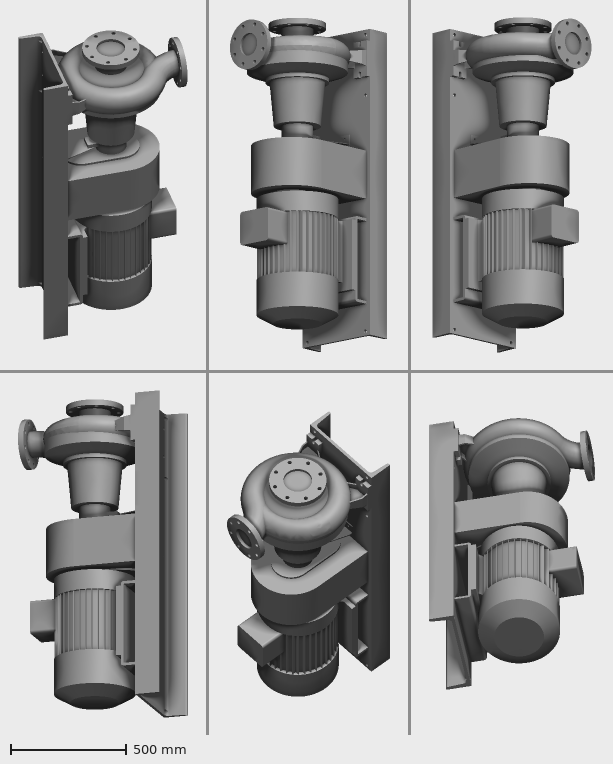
import cadquery as cq
import math


CHANNEL_LENGTH = 1360.0
CHANNEL_HALF_WIDTH = 199.0
CHANNEL_DEPTH = 110.0
CHANNEL_BACK_Y = -251.0
WEB_THICKNESS = 14.0
FLANGE_ROOT_THICKNESS = 20.0
FLANGE_TIP_THICKNESS = 14.0
FLANGE_ROOT_FILLET = 18.0
FLANGE_TIP_FILLET = 8.0
ANCHOR_HOLE_X = 170.0
ANCHOR_HOLE_DIAMETER = 16.0
ANCHOR_HOLE_HEIGHTS = (19.0, 1069.0, 1338.0)

CRADLE_HALF_WIDTH = 178.0
CRADLE_BOTTOM = 140.0
CRADLE_TOP = 520.0
CRADLE_THICKNESS = 12.0
CRADLE_CORNER_RADIUS = 12.0

PUMP_CENTER_Z = 1228.0
SPIRAL_OFFSET_X = 12.0
SPIRAL_RADIUS = 182.0
TUBE_RADIUS = 58.0
SPIRAL_START_RADIUS = 173.0
SPIRAL_START_TUBE_RADIUS = 50.0
SPIRAL_START_ANGLE = 70
SPIRAL_START_SECTIONS = 5
SUCTION_FACE_Z = 1370.0
SUCTION_FLANGE_DIAMETER = 250.0
SUCTION_BOLT_CIRCLE = 210.0
SUCTION_BORE_DIAMETER = 125.0
DISCHARGE_FACE_Y = 315.0
DISCHARGE_FLANGE_DIAMETER = 219.0
DISCHARGE_BOLT_CIRCLE = 180.0
DISCHARGE_BORE_DIAMETER = 100.0
PIPE_FLANGE_THICKNESS = 25.0
PIPE_BOLT_DIAMETER = 18.0
PIPE_BOLT_COUNT = 8
PIPE_BORE_DEPTH = 14.0
NECK_RADIUS = 70.0
COVER_INNER_Z = 1275.0
COVER_OUTER_Z = 1263.0
COVER_RADIUS = 158.0
BACKPLATE_RADIUS = 219.0
BACKPLATE_TOP = 1215.0
BACKPLATE_BOTTOM = 1152.0
COLLAR_RADIUS = 138.0
COLLAR_TOP = 1123.0
COLLAR_BOTTOM = 1107.0
FRAME_TOP_RADIUS = 120.0
FRAME_BOTTOM_RADIUS = 103.0
FRAME_BOTTOM = 914.0
BEARING_RADIUS = 68.0
BEARING_BOTTOM = 840.0
PUMP_SHAFT_RADIUS = 15.0
BEARING_FOOT_END_Y = -112.0
BEARING_FOOT_HEIGHT = 18.0

FOOT_PLATE_INNER_X = 119.0
FOOT_PLATE_THICKNESS = 20.0
FOOT_PLATE_HALF_HEIGHT = 80.0
FOOT_BOLT_X = 156.0
FOOT_BOLT_DIAMETER = 14.0
FOOT_BOLT_SPREAD = 63.0
FOOT_NOTCH_WIDTH = 16.0
FOOT_ARM_OUTER_X = 197.0
FOOT_ARM_CORNER_Y = -200.0
FOOT_ARM_OUTER_END = (163.0, -129.0)
FOOT_ARM_INNER_END = (75.0, -204.0)
FOOT_ARM_ROOT_HALF_HEIGHT = 35.0
FOOT_ARM_END_HALF_HEIGHT = 19.0
FOOT_ARM_OUTER_RIB = 7.0
FOOT_ARM_INNER_RIB = 11.0
FOOT_ARM_WEB_THICKNESS = 8.0

BRACKET_HALF_WIDTH = 80.0
BRACKET_END_HALF_WIDTH = 29.0
BRACKET_TAPER_START_Y = -229.0
BRACKET_SHELF_TOP = 866.0
BRACKET_THICKNESS = 4.0
BRACKET_FLANGE_TOP = 907.0
BRACKET_END_Y = -80.0
BRACKET_BOLT_X = 53.0
BRACKET_BOLT_Z = 890.0
BRACKET_BOLT_DIAMETER = 10.0

GUARD_RADIUS = 175.0
GUARD_ARC_Y = 38.0
GUARD_BOTTOM = 608.0
GUARD_TOP = 822.0
GUARD_COVER_RADIUS = 88.0
GUARD_COVER_LOWER_ARC_Y = -134.0
GUARD_COVER_THICKNESS = 10.0
GUARD_BOLT_X = 156.0
GUARD_BOLT_DIAMETER = 7.0

MOTOR_RADIUS = 178.0
MOTOR_TOP = 589.0
FINS_TOP = 501.0
FINS_BOTTOM = 229.0
FINS_PER_QUARTER = 10
FIN_THICKNESS = 3.0
FIN_ROOT_RADIUS = 163.0
FIN_TIP_RADIUS = 175.0
FAN_COVER_BOTTOM = 75.0
FAN_COVER_END_Z = 35.0
FAN_COVER_END_RADIUS = 108.0
MOTOR_SHAFT_RADIUS = 25.0
MOTOR_FOOT_HALF_WIDTH = 178.0
MOTOR_FOOT_THICKNESS = 22.0
MOTOR_FOOT_BOTTOM = 189.0
MOTOR_GUSSET_TOP = (103.0, -134.0)
MOTOR_GUSSET_HALF_WIDTH = 122.0
TERMINAL_BOX_X = (-75.0, 89.0)
TERMINAL_BOX_END_Y = 271.0
TERMINAL_BOX_BOTTOM = 353.0
TERMINAL_BOX_CORNER_RADIUS = 12.0

CHANNEL_TIP_Y = CHANNEL_BACK_Y - CHANNEL_DEPTH
WEB_INNER_Y = CHANNEL_BACK_Y - WEB_THICKNESS
GUARD_CENTER_Z = (GUARD_BOTTOM + GUARD_TOP) / 2
GUARD_COVER_TOP = GUARD_TOP + GUARD_COVER_THICKNESS
GUARD_COVER_BOTTOM = GUARD_BOTTOM - GUARD_COVER_THICKNESS
MOTOR_SEAT_Y = -MOTOR_RADIUS
FOOT_PLATE_TOP_Y = CHANNEL_BACK_Y + FOOT_PLATE_THICKNESS
FOOT_BOLT_HEIGHTS = (PUMP_CENTER_Z - FOOT_BOLT_SPREAD, PUMP_CENTER_Z + FOOT_BOLT_SPREAD)


def box(x_range, y_range, z_range):
    """Axis-aligned block between the given limits."""
    (x0, x1), (y0, y1), (z0, z1) = x_range, y_range, z_range
    return cq.Workplane("XY").box(x1 - x0, y1 - y0, z1 - z0, centered=False).translate((x0, y0, z0))


def web_holes(x, heights, diameter):
    """Drills along Y, mirrored about X = 0, that reach through the web and what is bolted to it."""
    points = [(side * x, z) for side in (-1, 1) for z in heights]
    start_y = CHANNEL_BACK_Y + BRACKET_THICKNESS
    depth = BRACKET_THICKNESS + WEB_THICKNESS + FLANGE_ROOT_FILLET
    return cq.Workplane("XZ", origin=(0, start_y, 0)).pushPoints(points).circle(diameter / 2).extrude(depth)


def make_channel():
    root_x = CHANNEL_HALF_WIDTH - FLANGE_ROOT_THICKNESS
    tip_x = CHANNEL_HALF_WIDTH - FLANGE_TIP_THICKNESS
    profile = [
        (-CHANNEL_HALF_WIDTH, CHANNEL_BACK_Y),
        (CHANNEL_HALF_WIDTH, CHANNEL_BACK_Y),
        (CHANNEL_HALF_WIDTH, CHANNEL_TIP_Y),
        (tip_x, CHANNEL_TIP_Y),
        (root_x, WEB_INNER_Y),
        (-root_x, WEB_INNER_Y),
        (-tip_x, CHANNEL_TIP_Y),
        (-CHANNEL_HALF_WIDTH, CHANNEL_TIP_Y),
    ]
    channel = cq.Workplane("XY").polyline(profile).close().extrude(CHANNEL_LENGTH)
    rounded_corners = (
        (root_x, WEB_INNER_Y, FLANGE_ROOT_FILLET),
        (tip_x, CHANNEL_TIP_Y, FLANGE_TIP_FILLET),
    )
    for x, y, radius in rounded_corners:
        for side in (-1, 1):
            corner = cq.selectors.NearestToPointSelector((side * x, y, CHANNEL_LENGTH / 2))
            channel = channel.edges("|Z").edges(corner).fillet(radius)
    channel = channel.cut(web_holes(ANCHOR_HOLE_X, ANCHOR_HOLE_HEIGHTS, ANCHOR_HOLE_DIAMETER))
    channel = channel.cut(web_holes(FOOT_BOLT_X, FOOT_BOLT_HEIGHTS, FOOT_BOLT_DIAMETER))
    channel = channel.cut(web_holes(BRACKET_BOLT_X, [BRACKET_BOLT_Z], BRACKET_BOLT_DIAMETER))
    channel = channel.cut(web_holes(GUARD_BOLT_X, [GUARD_CENTER_Z], GUARD_BOLT_DIAMETER))
    return channel.union(make_motor_cradle())


def make_motor_cradle():
    width = (-CRADLE_HALF_WIDTH, CRADLE_HALF_WIDTH)
    outer = box(width, (CHANNEL_BACK_Y, MOTOR_SEAT_Y), (CRADLE_BOTTOM, CRADLE_TOP))
    outer = outer.edges("|X and >Y").fillet(CRADLE_CORNER_RADIUS)
    opening = box(
        width,
        (CHANNEL_BACK_Y, MOTOR_SEAT_Y - CRADLE_THICKNESS),
        (CRADLE_BOTTOM + CRADLE_THICKNESS, CRADLE_TOP - CRADLE_THICKNESS),
    )
    return outer.cut(opening)


def pipe_flange(diameter, bolt_circle):
    """Drilled disc on the XY plane, rising along +Z, with bolt holes straddling its axes."""
    half_pitch = 180 / PIPE_BOLT_COUNT
    disc = cq.Workplane("XY").circle(diameter / 2).extrude(PIPE_FLANGE_THICKNESS)
    bolts = (
        cq.Workplane("XY")
        .polarArray(bolt_circle / 2, half_pitch, 360, PIPE_BOLT_COUNT)
        .circle(PIPE_BOLT_DIAMETER / 2)
        .extrude(PIPE_FLANGE_THICKNESS)
    )
    return disc.cut(bolts)


def make_pump_core():
    """Round parts on the pump axis, from the suction neck down to the shaft end on the guard."""
    profile = [
        (0, SUCTION_FACE_Z - PIPE_FLANGE_THICKNESS),
        (NECK_RADIUS, SUCTION_FACE_Z - PIPE_FLANGE_THICKNESS),
        (NECK_RADIUS, COVER_INNER_Z),
        (COVER_RADIUS, COVER_OUTER_Z),
        (COVER_RADIUS, BACKPLATE_TOP),
        (BACKPLATE_RADIUS, BACKPLATE_TOP),
        (BACKPLATE_RADIUS, BACKPLATE_BOTTOM),
        (COLLAR_RADIUS, COLLAR_TOP),
        (COLLAR_RADIUS, COLLAR_BOTTOM),
        (FRAME_TOP_RADIUS, COLLAR_BOTTOM),
        (FRAME_BOTTOM_RADIUS, FRAME_BOTTOM),
        (BEARING_RADIUS, FRAME_BOTTOM),
        (BEARING_RADIUS, BEARING_BOTTOM),
        (PUMP_SHAFT_RADIUS, BEARING_BOTTOM),
        (PUMP_SHAFT_RADIUS, GUARD_COVER_TOP),
        (0, GUARD_COVER_TOP),
    ]
    return cq.Workplane("XZ").polyline(profile).close().revolve(360, (0, 0, 0), (0, 1, 0))


def make_spiral_tube():
    """Constant tube around the spiral center, then a tangent reverse bend that ends along +Y at X = 0."""
    bend_radius = (DISCHARGE_FACE_Y**2 + SPIRAL_OFFSET_X**2 - SPIRAL_RADIUS**2) / (
        2 * (SPIRAL_RADIUS + SPIRAL_OFFSET_X)
    )
    join_angle = math.atan2(DISCHARGE_FACE_Y, bend_radius - SPIRAL_OFFSET_X)
    join = (
        SPIRAL_OFFSET_X + SPIRAL_RADIUS * math.cos(join_angle),
        SPIRAL_RADIUS * math.sin(join_angle),
    )
    start = (SPIRAL_OFFSET_X - SPIRAL_RADIUS, 0)
    bottom = (SPIRAL_OFFSET_X, -SPIRAL_RADIUS)
    path = (
        cq.Workplane("XY", origin=(0, 0, PUMP_CENTER_Z))
        .moveTo(*start)
        .threePointArc(bottom, join)
        .tangentArcPoint((0, DISCHARGE_FACE_Y), relative=False)
    )
    section = cq.Workplane("XZ", origin=(*start, PUMP_CENTER_Z)).circle(TUBE_RADIUS)
    return section.sweep(path)


def make_spiral_start():
    """Tapered first part of the spiral, from inside the discharge bend to the constant tube."""
    sections = []
    for index in range(SPIRAL_START_SECTIONS):
        share = index / (SPIRAL_START_SECTIONS - 1)
        angle = math.radians(SPIRAL_START_ANGLE + share * (180 - SPIRAL_START_ANGLE))
        radius = SPIRAL_START_TUBE_RADIUS + share * (TUBE_RADIUS - SPIRAL_START_TUBE_RADIUS)
        center_radius = SPIRAL_START_RADIUS + share * (SPIRAL_RADIUS - SPIRAL_START_RADIUS)
        center = cq.Vector(
            SPIRAL_OFFSET_X + center_radius * math.cos(angle),
            center_radius * math.sin(angle),
            PUMP_CENTER_Z,
        )
        direction = cq.Vector(-math.sin(angle), math.cos(angle), 0)
        sections.append(cq.Wire.makeCircle(radius, center, direction))
    return cq.Workplane(cq.Solid.makeLoft(sections))


def make_pump_foot():
    """Foot on the -X side: a notched plate on the channel and a tapering ribbed arm to the spiral."""
    plate = box(
        (-CHANNEL_HALF_WIDTH, -FOOT_PLATE_INNER_X),
        (CHANNEL_BACK_Y, FOOT_PLATE_TOP_Y),
        (PUMP_CENTER_Z - FOOT_PLATE_HALF_HEIGHT, PUMP_CENTER_Z + FOOT_PLATE_HALF_HEIGHT),
    )
    notch_length = 2 * (FOOT_PLATE_HALF_HEIGHT - FOOT_BOLT_SPREAD) + FOOT_NOTCH_WIDTH
    notches = (
        cq.Workplane("XZ", origin=(-FOOT_BOLT_X, FOOT_PLATE_TOP_Y, PUMP_CENTER_Z))
        .pushPoints([(0, -FOOT_PLATE_HALF_HEIGHT), (0, FOOT_PLATE_HALF_HEIGHT)])
        .slot2D(notch_length, FOOT_NOTCH_WIDTH, 90)
        .extrude(FOOT_PLATE_THICKNESS)
    )
    outer_x, outer_y = FOOT_ARM_OUTER_END
    inner_x, inner_y = FOOT_ARM_INNER_END
    arm_plan = [
        (-FOOT_ARM_OUTER_X, FOOT_PLATE_TOP_Y),
        (-FOOT_ARM_OUTER_X, FOOT_ARM_CORNER_Y),
        (-outer_x, outer_y),
        (-inner_x, inner_y),
        (-FOOT_PLATE_INNER_X, FOOT_PLATE_TOP_Y),
    ]
    arm_side = [
        (FOOT_PLATE_TOP_Y, -FOOT_ARM_ROOT_HALF_HEIGHT),
        (FOOT_PLATE_TOP_Y, FOOT_ARM_ROOT_HALF_HEIGHT),
        (outer_y, FOOT_ARM_END_HALF_HEIGHT),
        (outer_y, -FOOT_ARM_END_HALF_HEIGHT),
    ]
    arm = (
        cq.Workplane("XY", origin=(0, 0, PUMP_CENTER_Z))
        .polyline(arm_plan)
        .close()
        .extrude(FOOT_ARM_ROOT_HALF_HEIGHT, both=True)
    )
    taper = (
        cq.Workplane("YZ", origin=(0, 0, PUMP_CENTER_Z))
        .polyline(arm_side)
        .close()
        .extrude(-FOOT_ARM_OUTER_X)
    )
    pocket_plan = [
        (-FOOT_ARM_OUTER_X + FOOT_ARM_OUTER_RIB, FOOT_PLATE_TOP_Y),
        (-FOOT_ARM_OUTER_X + FOOT_ARM_OUTER_RIB, FOOT_ARM_CORNER_Y),
        (-outer_x + FOOT_ARM_OUTER_RIB, outer_y),
        (-inner_x - FOOT_ARM_INNER_RIB, inner_y),
        (-FOOT_PLATE_INNER_X - FOOT_ARM_INNER_RIB, FOOT_PLATE_TOP_Y),
    ]
    upper_pocket = (
        cq.Workplane("XY", origin=(0, 0, PUMP_CENTER_Z + FOOT_ARM_WEB_THICKNESS / 2))
        .polyline(pocket_plan)
        .close()
        .extrude(FOOT_ARM_ROOT_HALF_HEIGHT)
    )
    lower_pocket = upper_pocket.mirror("XY", (0, 0, PUMP_CENTER_Z))
    arm = arm.intersect(taper).cut(upper_pocket).cut(lower_pocket)
    return plate.cut(notches).union(arm)


def make_bearing_foot():
    return box(
        (-BRACKET_END_HALF_WIDTH, BRACKET_END_HALF_WIDTH),
        (BEARING_FOOT_END_Y, 0),
        (BRACKET_SHELF_TOP, BRACKET_SHELF_TOP + BEARING_FOOT_HEIGHT),
    )


def make_pump():
    suction_flange = pipe_flange(SUCTION_FLANGE_DIAMETER, SUCTION_BOLT_CIRCLE).translate(
        (0, 0, SUCTION_FACE_Z - PIPE_FLANGE_THICKNESS)
    )
    discharge_flange = (
        pipe_flange(DISCHARGE_FLANGE_DIAMETER, DISCHARGE_BOLT_CIRCLE)
        .rotate((0, 0, 0), (1, 0, 0), -90)
        .translate((0, DISCHARGE_FACE_Y - PIPE_FLANGE_THICKNESS, PUMP_CENTER_Z))
    )
    suction_bore = (
        cq.Workplane("XY", origin=(0, 0, SUCTION_FACE_Z))
        .circle(SUCTION_BORE_DIAMETER / 2)
        .extrude(-PIPE_BORE_DEPTH)
    )
    discharge_bore = (
        cq.Workplane("XZ", origin=(0, DISCHARGE_FACE_Y, PUMP_CENTER_Z))
        .circle(DISCHARGE_BORE_DIAMETER / 2)
        .extrude(PIPE_BORE_DEPTH)
    )
    foot = make_pump_foot()
    pump = make_pump_core().union(make_spiral_tube()).union(make_spiral_start())
    pump = pump.union(suction_flange).union(discharge_flange)
    pump = pump.union(foot).union(foot.mirror("YZ")).union(make_bearing_foot())
    return pump.cut(suction_bore).cut(discharge_bore)


def make_bearing_bracket():
    """Angle plate whose shelf narrows from the channel to the width of the bearing foot."""
    shelf_bottom = BRACKET_SHELF_TOP - BRACKET_THICKNESS
    shelf_plan = [
        (-BRACKET_HALF_WIDTH, CHANNEL_BACK_Y),
        (-BRACKET_HALF_WIDTH, BRACKET_TAPER_START_Y),
        (-BRACKET_END_HALF_WIDTH, BRACKET_END_Y),
        (BRACKET_END_HALF_WIDTH, BRACKET_END_Y),
        (BRACKET_HALF_WIDTH, BRACKET_TAPER_START_Y),
        (BRACKET_HALF_WIDTH, CHANNEL_BACK_Y),
    ]
    shelf = (
        cq.Workplane("XY", origin=(0, 0, shelf_bottom))
        .polyline(shelf_plan)
        .close()
        .extrude(BRACKET_THICKNESS)
    )
    flange = box(
        (-BRACKET_HALF_WIDTH, BRACKET_HALF_WIDTH),
        (CHANNEL_BACK_Y, CHANNEL_BACK_Y + BRACKET_THICKNESS),
        (shelf_bottom, BRACKET_FLANGE_TOP),
    )
    return shelf.union(flange).cut(web_holes(BRACKET_BOLT_X, [BRACKET_BOLT_Z], BRACKET_BOLT_DIAMETER))


def make_guard():
    hood = (
        cq.Workplane("XY", origin=(0, 0, GUARD_BOTTOM))
        .moveTo(-GUARD_RADIUS, CHANNEL_BACK_Y)
        .lineTo(-GUARD_RADIUS, GUARD_ARC_Y)
        .threePointArc((0, GUARD_ARC_Y + GUARD_RADIUS), (GUARD_RADIUS, GUARD_ARC_Y))
        .lineTo(GUARD_RADIUS, CHANNEL_BACK_Y)
        .close()
        .extrude(GUARD_TOP - GUARD_BOTTOM)
    )
    cover_length = GUARD_ARC_Y - GUARD_COVER_LOWER_ARC_Y + 2 * GUARD_COVER_RADIUS
    cover_center_y = (GUARD_ARC_Y + GUARD_COVER_LOWER_ARC_Y) / 2
    covers = (
        cq.Workplane("XY", origin=(0, cover_center_y, GUARD_COVER_BOTTOM))
        .slot2D(cover_length, 2 * GUARD_COVER_RADIUS, 90)
        .extrude(GUARD_COVER_TOP - GUARD_COVER_BOTTOM)
    )
    return hood.union(covers)


def make_motor():
    profile = [
        (0, GUARD_COVER_BOTTOM),
        (MOTOR_SHAFT_RADIUS, GUARD_COVER_BOTTOM),
        (MOTOR_SHAFT_RADIUS, MOTOR_TOP),
        (MOTOR_RADIUS, MOTOR_TOP),
        (MOTOR_RADIUS, FINS_TOP),
        (FIN_ROOT_RADIUS, FINS_TOP),
        (FIN_ROOT_RADIUS, FINS_BOTTOM),
        (MOTOR_RADIUS, FINS_BOTTOM),
        (MOTOR_RADIUS, FAN_COVER_BOTTOM),
        (FAN_COVER_END_RADIUS, FAN_COVER_END_Z),
        (0, FAN_COVER_END_Z),
    ]
    body = cq.Workplane("XZ").polyline(profile).close().revolve(360, (0, 0, 0), (0, 1, 0))
    return body.union(make_fins()).union(make_terminal_box()).union(make_motor_foot())


def make_fins():
    """Four groups of parallel fins; their tips are evenly spaced around the tip circle."""
    tip_pitch = math.radians(90 / FINS_PER_QUARTER)
    overlap = FIN_TIP_RADIUS - FIN_ROOT_RADIUS
    fins = cq.Workplane("XY")
    for index in range(FINS_PER_QUARTER):
        angle = (index - (FINS_PER_QUARTER - 1) / 2) * tip_pitch
        tip_x = FIN_TIP_RADIUS * math.cos(angle)
        fin_y = FIN_TIP_RADIUS * math.sin(angle)
        root_x = math.sqrt(FIN_ROOT_RADIUS**2 - fin_y**2)
        fin = box(
            (root_x - overlap, tip_x),
            (fin_y - FIN_THICKNESS / 2, fin_y + FIN_THICKNESS / 2),
            (FINS_BOTTOM, FINS_TOP),
        )
        for quarter in range(4):
            fins = fins.add(fin.rotate((0, 0, 0), (0, 0, 1), 90 * quarter))
    return fins.combine()


def make_terminal_box():
    terminal_box = box(TERMINAL_BOX_X, (0, TERMINAL_BOX_END_Y), (TERMINAL_BOX_BOTTOM, FINS_TOP))
    return terminal_box.edges("|Y").fillet(TERMINAL_BOX_CORNER_RADIUS)


def make_motor_foot():
    """Flat foot on the cradle, with a gusset that widens from the stator shell down to it."""
    foot_top_y = MOTOR_SEAT_Y + MOTOR_FOOT_THICKNESS
    foot = box(
        (-MOTOR_FOOT_HALF_WIDTH, MOTOR_FOOT_HALF_WIDTH),
        (MOTOR_SEAT_Y, foot_top_y),
        (MOTOR_FOOT_BOTTOM, FINS_TOP),
    )
    gusset_top_x, gusset_top_y = MOTOR_GUSSET_TOP
    gusset_profile = [
        (-MOTOR_GUSSET_HALF_WIDTH, foot_top_y),
        (-gusset_top_x, gusset_top_y),
        (gusset_top_x, gusset_top_y),
        (MOTOR_GUSSET_HALF_WIDTH, foot_top_y),
    ]
    gusset = (
        cq.Workplane("XY", origin=(0, 0, FINS_BOTTOM))
        .polyline(gusset_profile)
        .close()
        .extrude(FINS_TOP - FINS_BOTTOM)
    )
    return foot.union(gusset)


channel = make_channel()
pump = make_pump()
bearing_bracket = make_bearing_bracket()
guard = make_guard()
motor = make_motor()

result = cq.Compound.makeCompound(
    [body.solids().val() for body in (channel, pump, bearing_bracket, guard, motor)]
)